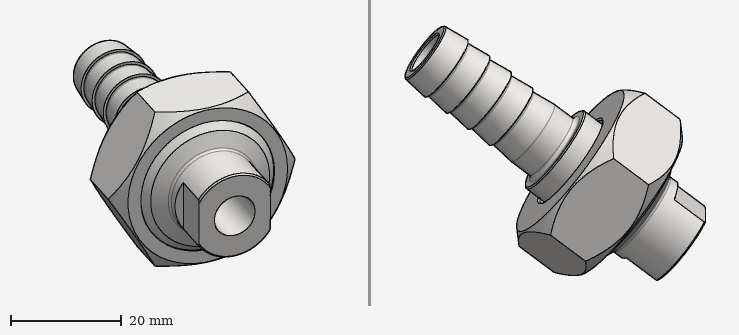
import cadquery as cq
import math

TOTAL_LENGTH = 59.0
BORE_RADIUS = 8.0 / 2

BARB_COUNT = 5
BARB_PITCH = 4.95
BARB_RADIUS = 13.0 / 2
BARB_ROOT_RADIUS = 5.95
BARB_ROOT_LAND = 0.4
MOUTH_CHAMFER = 0.25
MOUTH_RADIUS = 8.55 / 2
COLLAR_X = 29.8
COLLAR_RADIUS = 17.5 / 2
COLLAR_FACE_RADIUS = 17.0 / 2
NECK_FILLET = 0.8

NUT_X = 33.45
NUT_LENGTH = 13.45
NUT_ACROSS_FLATS = 32.0
NUT_FACE_RADIUS = 15.75
NUT_WALL = 2.95
NUT_HOLE_RADIUS = 18.5 / 2
NUT_HOLE_CHAMFER = 0.3
NUT_CAVITY_RADIUS = 26.4 / 2

FLANGE_RADIUS = 24.15 / 2
FLANGE_LENGTH = 2.95

CONE_X = 47.95
CONE_RADIUS = 23.5 / 2
TAIL_RADIUS = 17.0 / 2
CONE_FOOT_X = 49.45
CONE_FILLET = 0.6
TAIL_CHAMFER = 0.3
FLATS_WIDTH = 14.05
FLAT_X = 51.85
FLAT_RUNOUT = 0.35

nut_end = NUT_X + NUT_LENGTH
nut_corner_radius = NUT_ACROSS_FLATS / math.sqrt(3)
flange_x = NUT_X + NUT_WALL
seat_x = flange_x + FLANGE_LENGTH


def revolve_about_x(profile):
    """Turn a closed profile, drawn as (x, radius), about the X axis."""
    return profile.close().revolve(360, (0, 0, 0), (1, 0, 0))


def make_nozzle():
    """Barbed hose tail with a collar and a clamping flange."""
    profile = (
        cq.Workplane("XY")
        .moveTo(0, MOUTH_RADIUS)
        .lineTo(0, BARB_ROOT_RADIUS - MOUTH_CHAMFER)
        .lineTo(MOUTH_CHAMFER, BARB_ROOT_RADIUS)
    )
    for barb in range(1, BARB_COUNT):
        tip_x = barb * BARB_PITCH
        profile = (
            profile.lineTo(tip_x, BARB_RADIUS)
            .lineTo(tip_x, BARB_ROOT_RADIUS)
            .lineTo(tip_x + BARB_ROOT_LAND, BARB_ROOT_RADIUS)
        )
    collar_chamfer = COLLAR_RADIUS - COLLAR_FACE_RADIUS
    fillet_mid = NECK_FILLET * math.sqrt(0.5)
    profile = (
        profile.lineTo(BARB_COUNT * BARB_PITCH, BARB_RADIUS)
        .lineTo(COLLAR_X - NECK_FILLET, BARB_RADIUS)
        .threePointArc(
            (COLLAR_X - NECK_FILLET + fillet_mid, BARB_RADIUS + NECK_FILLET - fillet_mid),
            (COLLAR_X, BARB_RADIUS + NECK_FILLET),
        )
        .lineTo(COLLAR_X, COLLAR_FACE_RADIUS)
        .lineTo(COLLAR_X + collar_chamfer, COLLAR_RADIUS)
        .lineTo(flange_x, COLLAR_RADIUS)
        .lineTo(flange_x, FLANGE_RADIUS)
        .lineTo(seat_x, FLANGE_RADIUS)
        .lineTo(seat_x, BORE_RADIUS)
        .lineTo(MOUTH_RADIUS - BORE_RADIUS, BORE_RADIUS)
    )
    return revolve_about_x(profile)


def make_nut():
    """Hexagon nut, chamfered at both ends, with a wall behind the nozzle flange."""
    hexagon = (
        cq.Workplane("YZ", origin=(NUT_X, 0, 0))
        .polygon(6, 2 * nut_corner_radius)
        .extrude(NUT_LENGTH)
    )
    corner_chamfer = nut_corner_radius - NUT_FACE_RADIUS
    envelope = (
        cq.Workplane("YZ", origin=(NUT_X, 0, 0))
        .circle(nut_corner_radius)
        .extrude(NUT_LENGTH)
        .faces("<X or >X")
        .chamfer(corner_chamfer)
    )
    opening = revolve_about_x(
        cq.Workplane("XY")
        .moveTo(NUT_X, 0)
        .lineTo(NUT_X, NUT_HOLE_RADIUS + NUT_HOLE_CHAMFER)
        .lineTo(NUT_X + NUT_HOLE_CHAMFER, NUT_HOLE_RADIUS)
        .lineTo(flange_x, NUT_HOLE_RADIUS)
        .lineTo(flange_x, NUT_CAVITY_RADIUS)
        .lineTo(nut_end, NUT_CAVITY_RADIUS)
        .lineTo(nut_end, 0)
    )
    return hexagon.intersect(envelope).cut(opening)


def make_tailpiece():
    """End piece: seat, coned shoulder and tail with two wrench flats."""
    shoulder_x = CONE_X - (NUT_CAVITY_RADIUS - CONE_RADIUS)
    cone_angle = math.atan2(CONE_RADIUS - TAIL_RADIUS, CONE_FOOT_X - CONE_X)
    tangent_length = CONE_FILLET * math.tan(cone_angle / 2)
    fillet_end_x = CONE_FOOT_X + tangent_length
    fillet_start = (
        CONE_FOOT_X - tangent_length * math.cos(cone_angle),
        TAIL_RADIUS + tangent_length * math.sin(cone_angle),
    )
    fillet_mid = (
        fillet_end_x - CONE_FILLET * math.sin(cone_angle / 2),
        TAIL_RADIUS + CONE_FILLET * (1 - math.cos(cone_angle / 2)),
    )
    tail = revolve_about_x(
        cq.Workplane("XY")
        .moveTo(seat_x, BORE_RADIUS)
        .lineTo(seat_x, NUT_CAVITY_RADIUS)
        .lineTo(shoulder_x, NUT_CAVITY_RADIUS)
        .lineTo(CONE_X, CONE_RADIUS)
        .lineTo(*fillet_start)
        .threePointArc(fillet_mid, (fillet_end_x, TAIL_RADIUS))
        .lineTo(TOTAL_LENGTH - TAIL_CHAMFER, TAIL_RADIUS)
        .lineTo(TOTAL_LENGTH, TAIL_RADIUS - TAIL_CHAMFER)
        .lineTo(TOTAL_LENGTH, BORE_RADIUS)
    )
    flat_y = FLATS_WIDTH / 2
    flat_cutter = (
        cq.Workplane("XY")
        .polyline([
            (FLAT_X, flat_y),
            (TOTAL_LENGTH, flat_y),
            (TOTAL_LENGTH, TAIL_RADIUS),
            (FLAT_X - FLAT_RUNOUT, TAIL_RADIUS),
        ])
        .close()
        .extrude(TAIL_RADIUS, both=True)
    )
    return tail.cut(flat_cutter).cut(flat_cutter.mirror("XZ"))


nozzle = make_nozzle()
nut = make_nut()
tailpiece = make_tailpiece()

result = cq.Compound.makeCompound([nozzle.val(), nut.val(), tailpiece.val()])